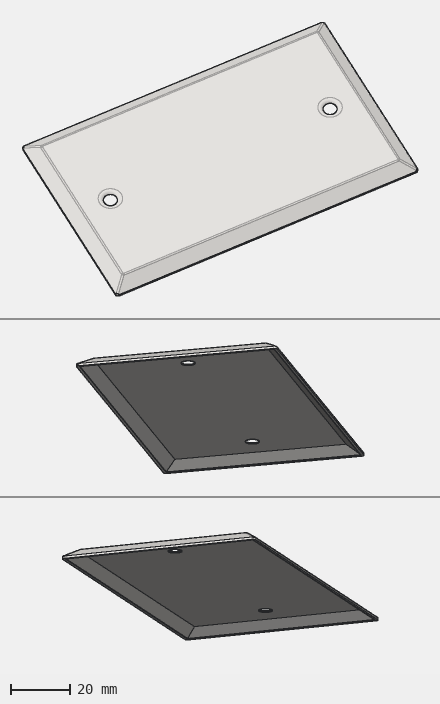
import cadquery as cq
import math

width = 70.0
length = 114.5
height = 4.0
rim_height = 0.8
bevel_width = 4.8
edge_radius = 1.1
corner_radius = 1.0
wall = 1.0
hole_diameter = 4.7
flare_diameter = 8.2
flare_depth = 0.8
hole_spacing = 83.2

bevel_height = height - rim_height
bevel_angle = math.atan2(bevel_height, bevel_width)
taper_from_vertical = 90 - math.degrees(bevel_angle)


def bevelled_block(block_width, block_length, upright, sloped):
    """Rectangular block with an upright rim below a sloping border."""
    base = cq.Workplane("XY").rect(block_width, block_length).extrude(upright)
    crown = (
        cq.Workplane("XY")
        .workplane(offset=upright)
        .rect(block_width, block_length)
        .extrude(sloped, taper=taper_from_vertical)
    )
    return base.union(crown)


def outer_shell():
    """Outside shape with its corners, ridges and top edges rounded."""
    block = bevelled_block(width, length, rim_height, bevel_height)
    corners = block.edges("|Z")
    ridges = block.edges("not (#X or #Y or #Z)")
    rounded = block.newObject(corners.vals() + ridges.vals()).fillet(corner_radius)
    return rounded.faces(">Z").edges().fillet(edge_radius)


def cavity():
    """Hollow underside, leaving a sheet of uniform thickness."""
    inner_rim = rim_height - wall * (1 / math.cos(bevel_angle) - math.tan(bevel_angle))
    inner_slope = height - wall - inner_rim
    return bevelled_block(width - 2 * wall, length - 2 * wall, inner_rim, inner_slope)


def screw_hole():
    """Through hole whose wall flares in an arc tangent to the top face."""
    hole_radius = hole_diameter / 2
    flare_radius = flare_diameter / 2
    flare_width = flare_radius - hole_radius
    seat_bottom = height - flare_depth
    arc_radius = (flare_width**2 + flare_depth**2) / (2 * flare_depth)
    half_angle = math.asin(flare_width / arc_radius) / 2
    arc_middle = (
        flare_radius - arc_radius * math.sin(half_angle),
        height - arc_radius * (1 - math.cos(half_angle)),
    )
    flare = (
        cq.Workplane("XZ")
        .moveTo(0, seat_bottom)
        .lineTo(hole_radius, seat_bottom)
        .threePointArc(arc_middle, (flare_radius, height))
        .lineTo(0, height)
        .close()
        .revolve(360, (0, 0, 0), (0, 1, 0))
    )
    bore = cq.Workplane("XY").circle(hole_radius).extrude(height)
    return flare.union(bore)


result = outer_shell().cut(cavity())
for side in (-1, 1):
    result = result.cut(screw_hole().translate((0, side * hole_spacing / 2, 0)))